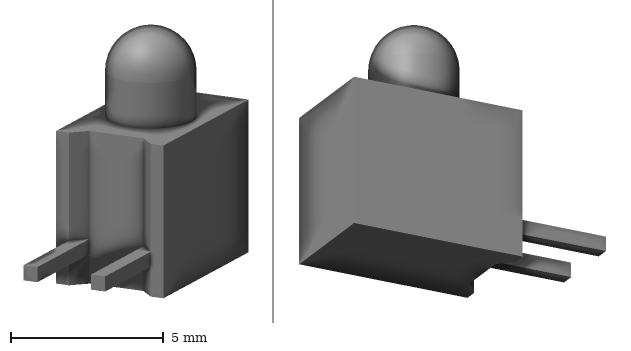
import cadquery as cq

housing_width = 3.94
housing_length = 6.21
housing_height = 5.2
groove_mouth_width = 3.0
groove_floor_width = 1.97
groove_depth = 0.5

overall_height = 8.26
lens_diameter = 3.0
lens_to_back = 3.22

overall_length = 9.53
lead_bottom = 1.01
lead_thickness = (groove_mouth_width - groove_floor_width) / 2

back_y = lens_to_back
front_y = back_y - housing_length
groove_floor_y = front_y + groove_depth
lead_tip_y = back_y - overall_length


def make_housing():
    half_width = housing_width / 2
    half_mouth = groove_mouth_width / 2
    half_floor = groove_floor_width / 2
    outline = [
        (-half_width, back_y),
        (-half_width, front_y),
        (-half_mouth, front_y),
        (-half_floor, groove_floor_y),
        (half_floor, groove_floor_y),
        (half_mouth, front_y),
        (half_width, front_y),
        (half_width, back_y),
    ]
    return cq.Workplane("XY").polyline(outline).close().extrude(housing_height)


def make_lens():
    """Revolve the half profile of the domed cylinder about its axis."""
    radius = lens_diameter / 2
    dome_base_z = overall_height - radius
    return (
        cq.Workplane("XZ")
        .moveTo(0, housing_height)
        .lineTo(radius, housing_height)
        .lineTo(radius, dome_base_z)
        .radiusArc((0, overall_height), -radius)
        .close()
        .revolve(360, (0, 0, 0), (0, 1, 0))
    )


def make_lead(side):
    """Make the lead at -X (side = -1) or +X (side = 1), its slanted end flush on the groove side."""
    inner_x = side * groove_floor_width / 2
    outer_x = inner_x + side * lead_thickness
    outline = [
        (inner_x, lead_tip_y),
        (outer_x, lead_tip_y),
        (outer_x, front_y),
        (inner_x, groove_floor_y),
    ]
    return (
        cq.Workplane("XY", origin=(0, 0, lead_bottom))
        .polyline(outline)
        .close()
        .extrude(lead_thickness)
    )


housing = make_housing()
lens = make_lens()
leads = [make_lead(side).val() for side in (-1, 1)]

result = cq.Compound.makeCompound([housing.val(), lens.val(), *leads])